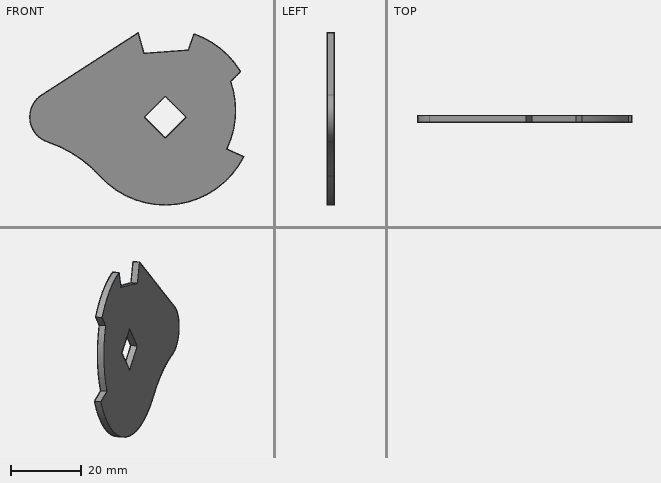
import cadquery as cq
import math

overall_length = 60.8
thickness = 2.0
body_radius = 25.0
nose_radius = 7.5
nose_offset = 31.0
flank_radius = 35.0
hole_diagonal = 11.8

peak = (-7.65, 23.95)
top_notch_left = (-6.0, 18.1)
top_notch_right = (6.5, 19.0)
top_rim_x = 8.15
upper_rim_x = 21.4
side_notch_upper = (18.6, 10.1)
side_notch_middle = (20.0, 1.6)
side_notch_lower = (17.5, -9.05)
lower_tip_x = overall_length - nose_offset - nose_radius


def rim_z(x):
    """Height of the upper half of the body circle at x."""
    return math.sqrt(body_radius**2 - x**2)


def nose_point(angle):
    """Point on the nose circle at an angle in radians from +X."""
    return (-nose_offset + nose_radius * math.cos(angle), nose_radius * math.sin(angle))


def arc_middle(center, radius, start, end):
    """Middle of the shorter arc between two points on a circle."""
    dx = (start[0] + end[0]) / 2 - center[0]
    dz = (start[1] + end[1]) / 2 - center[1]
    stretch = radius / math.hypot(dx, dz)
    return (center[0] + dx * stretch, center[1] + dz * stretch)


peak_dx = peak[0] + nose_offset
peak_distance = math.hypot(peak_dx, peak[1])
peak_angle = math.atan2(peak[1], peak_dx)
nose_top = nose_point(peak_angle + math.acos(nose_radius / peak_distance))

body_reach = body_radius + flank_radius
nose_reach = nose_radius + flank_radius
flank_x = (nose_reach**2 - body_reach**2 - nose_offset**2) / (2 * nose_offset)
flank_z = -math.sqrt(body_reach**2 - flank_x**2)
flank_center = (flank_x, flank_z)
nose_bottom = nose_point(math.atan2(flank_z, flank_x + nose_offset))
body_share = body_radius / body_reach
body_start = (flank_x * body_share, flank_z * body_share)
flank_middle = arc_middle(flank_center, flank_radius, nose_bottom, body_start)

top_rim = (top_rim_x, rim_z(top_rim_x))
upper_rim = (upper_rim_x, rim_z(upper_rim_x))
rim_middle = arc_middle((0, 0), body_radius, top_rim, upper_rim)
lower_tip = (lower_tip_x, -rim_z(lower_tip_x))

plate = (
    cq.Workplane("XZ")
    .moveTo(*peak)
    .lineTo(*top_notch_left)
    .lineTo(*top_notch_right)
    .lineTo(*top_rim)
    .threePointArc(rim_middle, upper_rim)
    .lineTo(*side_notch_upper)
    .threePointArc(side_notch_middle, side_notch_lower)
    .lineTo(*lower_tip)
    .threePointArc((0, -body_radius), body_start)
    .threePointArc(flank_middle, nose_bottom)
    .threePointArc((-nose_offset - nose_radius, 0), nose_top)
    .close()
    .extrude(thickness / 2, both=True)
)

hole_side = hole_diagonal / math.sqrt(2)
hole = (
    cq.Workplane("XZ")
    .transformed(rotate=(0, 0, 45))
    .rect(hole_side, hole_side)
    .extrude(thickness, both=True)
)

result = plate.cut(hole)